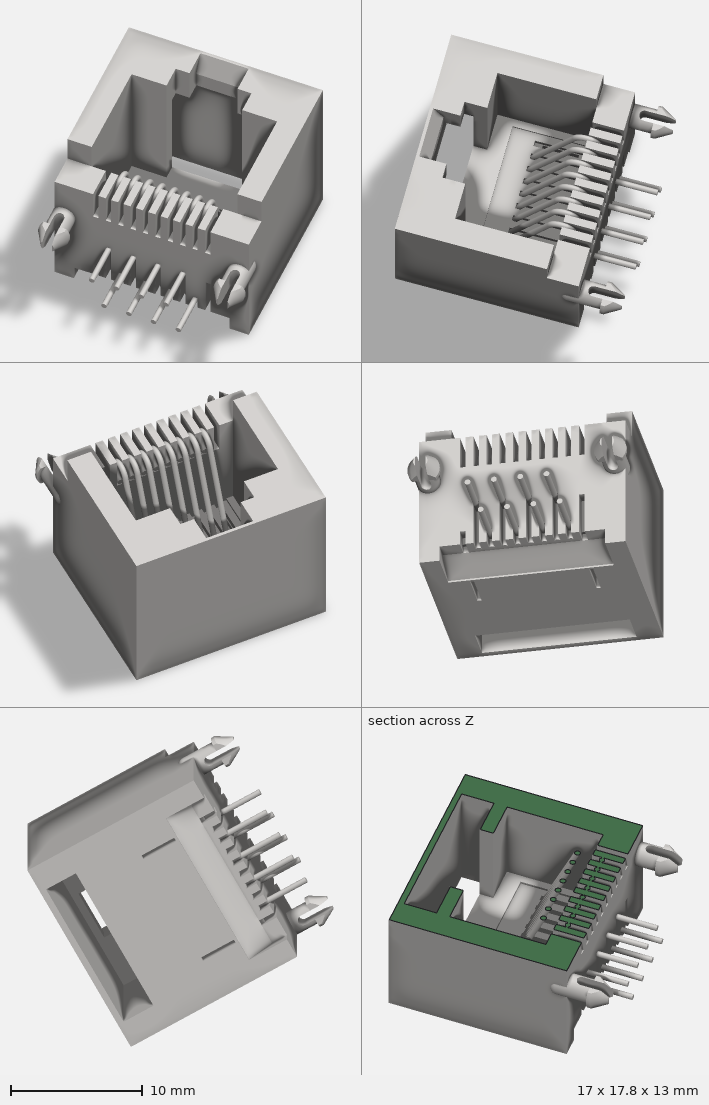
import cadquery as cq
import math


BODY_W, BODY_D, BODY_H = 16.0, 14.5, 13.0
FRONT_WALL = 2.5
FRONT_WALL_TOP = 10.7

CAVITY_W, CAVITY_REAR = 12.0, 10.3
LEDGE_Z = 2.1
POCKET_W, POCKET_REAR = 10.85, 8.95
POCKET_FLOOR = 1.9

LATCH_W, LATCH_REAR = 6.24, 12.1
KEY_W, KEY_REAR = 3.96, 13.43
LEAD_IN_REAR, LEAD_IN_DEPTH = 14.25, 1.54

RECESS_W = CAVITY_W
RECESS_FRONT, RECESS_REAR = 11.4, 14.0
RECESS_TOP = 10.1

CONTACTS, PITCH = 8, 1.02
SLOT_W = 0.44
SLOT_BOTTOM = 8.06
SLOT_REAR = 7.02
SIDE_SLOT_X = 4.62
CONTACT_X = [(i - (CONTACTS - 1) / 2) * PITCH for i in range(CONTACTS)]
FLOOR_SLOT_DEPTH = 0.5

WIRE_R = 0.45 / 2
PIN_TIP = -3.3
PIN_LOW_Z = 2.15
PIN_ROW_SPACING = 2.54
PIN_HIGH_Z = PIN_LOW_Z + PIN_ROW_SPACING
BEND_R = 0.96
BEND_FRONT = 1.4
BEND_TOP = FRONT_WALL_TOP - 0.1
SPRING_ANGLE = 67.5

GROOVE_DEPTH = 1.0
SIDE_GROOVE_HIGH = 4.55
SIDE_GROOVE_STEP_Z = 1.8
SIDE_GROOVE_STEP_DEPTH = 1.3
RELIEF_W, RELIEF_H = 12.85, 1.25
RELIEF_STEP = 0.14
RELIEF_ANGLE = 29
RELIEF_REAR = SIDE_GROOVE_STEP_DEPTH + (RELIEF_H - RELIEF_STEP) / math.tan(math.radians(RELIEF_ANGLE))

WINDOW_W = 0.31
WINDOW_FRONT, WINDOW_REAR = 3.52, 6.38

PEG_R, PEG_X, PEG_Z = 1.89 / 2, 7.235, 7.0
OVERALL_W = 16.99
BARB_R = OVERALL_W / 2 - PEG_X
BARB_BACK, BARB_RIM = -1.77, -2.07
PEG_TIP_R = 0.555
PEG_SLOT_W, PEG_SLOT_END = 0.8, -0.56
PEG_ROUND_START, PEG_ROUND_R = 0.86, 0.66


def box(x, width, y0, y1, z0, z1):
    """Block centred on x and spanning y0..y1 and z0..z1."""
    return cq.Workplane("XY").box(width, y1 - y0, z1 - z0, centered=(True, False, False)).translate((x, y0, z0))


def side_profile(x, width, points):
    """Prism of a closed (y, z) outline, centred on x."""
    return cq.Workplane("YZ").polyline(points).close().extrude(width / 2, both=True).translate((x, 0, 0))


def housing():
    """Outer block with the front wall lowered."""
    body = box(0, BODY_W, 0, BODY_D, 0, BODY_H)
    return body.cut(box(0, BODY_W, 0, FRONT_WALL, FRONT_WALL_TOP, BODY_H))


def cut_cavity(body):
    """Plug cavity with a ledge around a slightly narrower floor pocket."""
    body = body.cut(box(0, CAVITY_W, FRONT_WALL, CAVITY_REAR, LEDGE_Z, BODY_H))
    return body.cut(box(0, POCKET_W, FRONT_WALL, POCKET_REAR, POCKET_FLOOR, BODY_H))


def cut_latch_keyway(body):
    """Stepped keyway with a sloped lead-in, opening into the rear recess."""
    body = body.cut(box(0, LATCH_W, CAVITY_REAR, LATCH_REAR, LEDGE_Z, BODY_H))
    body = body.cut(box(0, KEY_W, LATCH_REAR, KEY_REAR, RECESS_TOP, BODY_H))
    body = body.cut(box(0, RECESS_W, RECESS_FRONT, RECESS_REAR, 0, RECESS_TOP))
    lead_in = [(KEY_REAR, BODY_H - LEAD_IN_DEPTH), (LEAD_IN_REAR, BODY_H), (KEY_REAR, BODY_H)]
    return body.cut(side_profile(0, KEY_W, lead_in))


def cut_comb(body):
    """Slots through the front wall, continued as shallow slots in the pocket floor."""
    for x in [-SIDE_SLOT_X, *CONTACT_X, SIDE_SLOT_X]:
        body = body.cut(box(x, SLOT_W, 0, FRONT_WALL, SLOT_BOTTOM, FRONT_WALL_TOP))
        body = body.cut(box(x, SLOT_W, FRONT_WALL, SLOT_REAR, POCKET_FLOOR - FLOOR_SLOT_DEPTH, POCKET_FLOOR))
    for x in (-SIDE_SLOT_X, SIDE_SLOT_X):
        body = body.cut(box(x, WINDOW_W, WINDOW_FRONT, WINDOW_REAR, 0, POCKET_FLOOR))
    return body


def pin_z(index):
    """Pins alternate between two rows, starting with the high one."""
    return PIN_HIGH_Z if index % 2 == 0 else PIN_LOW_Z


def cut_board_face(body):
    """Wire grooves in the board face and the sloped relief beneath them."""
    for i, x in enumerate(CONTACT_X):
        body = body.cut(box(x, SLOT_W, 0, GROOVE_DEPTH, 0, pin_z(i) + WIRE_R))
    side_tops = ((-SIDE_SLOT_X, PIN_LOW_Z + WIRE_R), (SIDE_SLOT_X, SIDE_GROOVE_HIGH))
    for x, top in side_tops:
        body = body.cut(box(x, SLOT_W, 0, GROOVE_DEPTH, 0, top))
        body = body.cut(box(x, SLOT_W, 0, SIDE_GROOVE_STEP_DEPTH, RELIEF_H, SIDE_GROOVE_STEP_Z))
    relief = [
        (0, 0),
        (0, RELIEF_H),
        (SIDE_GROOVE_STEP_DEPTH, RELIEF_H),
        (RELIEF_REAR, RELIEF_STEP),
        (RELIEF_REAR, 0),
    ]
    return body.cut(side_profile(0, RELIEF_W, relief))


def pin_wire(x, z):
    """Straight board pin with a leg down its groove."""
    pin = cq.Workplane("XZ", origin=(x, PIN_TIP, z)).circle(WIRE_R).extrude(PIN_TIP - GROOVE_DEPTH)
    leg = cq.Workplane("XY", origin=(x, GROOVE_DEPTH, RELIEF_H)).circle(WIRE_R).extrude(z - RELIEF_H)
    return pin.union(leg)


def contact_wire(x):
    """Spring that rises from the pocket floor and curls over and down into the front wall."""
    slope = math.radians(SPRING_ANGLE)
    centre_y = BEND_FRONT + WIRE_R + BEND_R
    centre_z = BEND_TOP - WIRE_R - BEND_R
    bend_end = (centre_y + BEND_R * math.sin(slope), centre_z + BEND_R * math.cos(slope))
    foot_y = SLOT_REAR - WIRE_R
    foot = (foot_y, bend_end[1] - (foot_y - bend_end[0]) * math.tan(slope))
    path = (
        cq.Workplane("YZ", origin=(x, 0, 0))
        .moveTo(centre_y, centre_z - BEND_R)
        .threePointArc((centre_y - BEND_R, centre_z), bend_end)
        .lineTo(*foot)
    )
    start = cq.Workplane("XZ", origin=(x, centre_y, centre_z - BEND_R))
    return start.circle(WIRE_R).sweep(path)


def peg(x):
    """Split snap peg with a barbed tip and a rounded root."""
    round_mid = PEG_ROUND_R * math.sqrt(0.5)
    round_centre = PEG_R - PEG_ROUND_R
    cone_run = (BARB_RIM - PIN_TIP) * (PEG_R - PEG_TIP_R) / (BARB_R - PEG_TIP_R)
    root = PEG_ROUND_START + PEG_ROUND_R
    shaft = (
        cq.Workplane("XY")
        .moveTo(0, PIN_TIP)
        .lineTo(PEG_TIP_R, PIN_TIP)
        .lineTo(PEG_R, PIN_TIP + cone_run)
        .lineTo(PEG_R, PEG_ROUND_START)
        .threePointArc(
            (round_centre + round_mid, PEG_ROUND_START + round_mid),
            (round_centre, root),
        )
        .lineTo(0, root)
        .close()
        .revolve(360, (0, 0), (0, 1))
    )
    barb = (
        cq.Workplane("XY")
        .polyline([(0, PIN_TIP), (PEG_TIP_R, PIN_TIP), (BARB_R, BARB_RIM), (BARB_R, BARB_BACK), (0, BARB_BACK)])
        .close()
        .revolve(360, (0, 0), (0, 1))
    )
    slot_half = PEG_SLOT_W / 2
    barb_half_h = math.sqrt(PEG_R**2 - slot_half**2)
    barb = barb.intersect(box(0, 2 * BARB_R, PIN_TIP, BARB_BACK, -barb_half_h, barb_half_h))
    slot_round = PEG_SLOT_END - slot_half
    slot = box(0, PEG_SLOT_W, PIN_TIP, slot_round, -PEG_R, PEG_R)
    slot = slot.union(cq.Workplane("XY").center(0, slot_round).circle(slot_half).extrude(PEG_R, both=True))
    return shaft.union(barb).cut(slot).translate((x, 0, PEG_Z))


result = cut_board_face(cut_comb(cut_latch_keyway(cut_cavity(housing()))))
for i, contact_x in enumerate(CONTACT_X):
    result = result.union(pin_wire(contact_x, pin_z(i)))
    result = result.union(contact_wire(contact_x))
for peg_x in (-PEG_X, PEG_X):
    result = result.union(peg(peg_x))